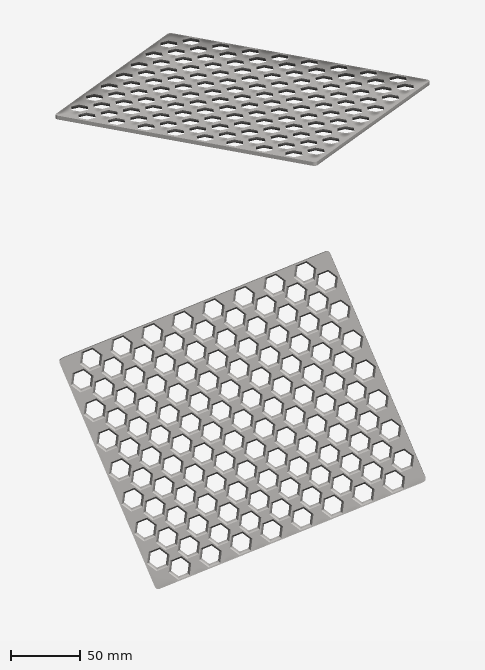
import cadquery as cq
import math

length = 212.0
width = 185.0
thickness = 3.0
corner_radius = 2.8

long_row_holes = 9
short_row_holes = long_row_holes - 1
long_rows = 7
short_rows = long_rows + 1
end_margin = 10.2
pitch = (length - 2 * end_margin) / (long_row_holes - 1)

hole_sides = 6
undercut_angle = 30.0
top_across_flats = pitch / 2
bottom_across_flats = top_across_flats + 2 * thickness * math.tan(math.radians(undercut_angle))
bottom_across_corners = bottom_across_flats / math.cos(math.pi / hole_sides)


def make_plate():
    """Flat plate with rounded corners, resting on the XY plane."""
    plate = cq.Workplane("XY").box(length, width, thickness, centered=(True, True, False))
    return plate.edges("|Z").fillet(corner_radius)


def make_hexagon_grid(columns, rows):
    """Square grid of hexagonal cutters, corners along X, that narrow towards the top face."""
    return (
        cq.Workplane("XY")
        .rarray(pitch, pitch, columns, rows)
        .polygon(hole_sides, bottom_across_corners)
        .extrude(thickness, taper=undercut_angle, combine=False)
    )


result = make_plate()
result = result.cut(make_hexagon_grid(long_row_holes, long_rows))
result = result.cut(make_hexagon_grid(short_row_holes, short_rows))